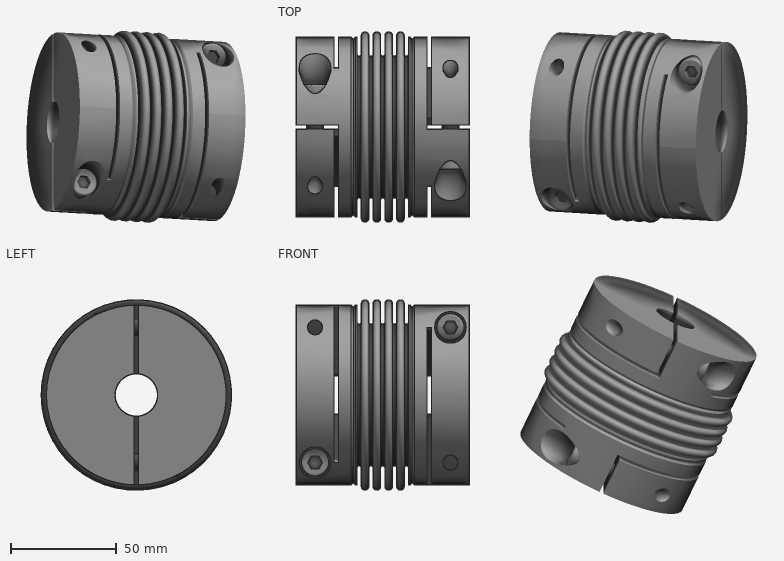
import cadquery as cq
import math


length = 82.0
outer_radius = 45.0
bore_radius = 10.0

hub_radius = 42.5
hub_length = 26.0
groove_bottom = 27.1
groove_depth = 1.0
groove_end = 28.1

bellows_length = 24.3
crest_count = 4
crest_radius = 1.8
root_depth = 11.5

split_width = 2.0
slot_start = 18.0
slot_width = 2.0
slot_end = slot_start + slot_width
slot_inner_y = 4.3
slot_inner_z = math.sqrt(bore_radius**2 - slot_inner_y**2)
slot_outer_y = 28.1
slot_sag = 2.6

screw_offset = 31.95
screw_from_end = 9.0
shank_radius = 4.0
head_radius = 6.5
head_rounding = 0.9
head_top = 20.1
head_height = 8.0
counterbore_radius = 7.5
hex_flats = 6.0
hex_depth = 4.0
threaded_hole_radius = 3.5
screw_tip = 13.0

half_length = length / 2
slot_outer_z = math.sqrt(hub_radius**2 - slot_outer_y**2)
head_seat = head_top - head_height
reach = 2 * outer_radius


def revolved_body():
    """Both hubs and the bellows, turned about X as one solid with a through bore."""
    half_bellows = bellows_length / 2
    root_width = (bellows_length - 2 * crest_count * crest_radius) / (crest_count + 1)
    root_radius = root_width / 2
    crest_wall = outer_radius - crest_radius
    root = outer_radius - root_depth
    root_wall = root + root_radius

    profile = (
        cq.Workplane("XY")
        .moveTo(-half_length, bore_radius)
        .lineTo(-half_length, hub_radius)
        .lineTo(-half_length + hub_length, hub_radius)
        .lineTo(-half_length + groove_bottom, hub_radius - groove_depth)
        .lineTo(-half_length + groove_end, hub_radius)
        .lineTo(-half_bellows, hub_radius)
    )
    x = -half_bellows
    for _ in range(crest_count):
        profile = (
            profile.lineTo(x, root_wall)
            .threePointArc((x + root_radius, root), (x + root_width, root_wall))
            .lineTo(x + root_width, crest_wall)
        )
        x += root_width
        profile = profile.threePointArc((x + crest_radius, outer_radius), (x + 2 * crest_radius, crest_wall))
        x += 2 * crest_radius
    profile = (
        profile.lineTo(x, root_wall)
        .threePointArc((x + root_radius, root), (half_bellows, root_wall))
        .lineTo(half_bellows, hub_radius)
        .lineTo(half_length - groove_end, hub_radius)
        .lineTo(half_length - groove_bottom, hub_radius - groove_depth)
        .lineTo(half_length - hub_length, hub_radius)
        .lineTo(half_length, hub_radius)
        .lineTo(half_length, bore_radius)
        .close()
    )
    return profile.revolve(360, (0, 0, 0), (1, 0, 0))


def split():
    """Axial gap that parts the hub into two jaws."""
    return cq.Workplane("XY").box(2 * slot_end, split_width, reach).translate((-half_length, 0, 0))


def jaw_slot():
    """Cross slot that frees the -Y jaw, closed by a shallow arc below the bore."""
    chord_y = slot_outer_y - slot_inner_y
    chord_z = slot_outer_z - slot_inner_z
    chord = math.hypot(chord_y, chord_z)
    arc_middle = (
        -(slot_inner_y + slot_outer_y) / 2 + slot_sag * chord_z / chord,
        -(slot_inner_z + slot_outer_z) / 2 - slot_sag * chord_y / chord,
    )
    return (
        cq.Workplane("YZ", origin=(-half_length + slot_start, 0, 0))
        .moveTo(0, reach)
        .lineTo(0, -slot_inner_z)
        .lineTo(-slot_inner_y, -slot_inner_z)
        .threePointArc(arc_middle, (-slot_outer_y, -slot_outer_z))
        .lineTo(-reach, -slot_outer_z)
        .lineTo(-reach, reach)
        .close()
        .extrude(slot_width)
    )


def screw_plane(y):
    """Workplane at the given Y, facing -Y, centred on the screw whose head sits in the -Y jaw."""
    return cq.Workplane("XZ", origin=(-half_length + screw_from_end, y, -screw_offset))


def screw_holes():
    """Counterbore for the head, and the open end of the threaded hole in the other jaw."""
    counterbore = screw_plane(-head_seat).circle(counterbore_radius).extrude(reach)
    threaded_hole = screw_plane(screw_tip).circle(threaded_hole_radius).extrude(-reach)
    return counterbore.union(threaded_hole)


def screw():
    """Socket head cap screw with a rounded head and a hexagon socket."""
    head = (
        screw_plane(-head_seat)
        .circle(head_radius)
        .extrude(head_height)
        .faces("<Y")
        .edges()
        .fillet(head_rounding)
    )
    half_hex_angle = math.pi / 6
    hex_across_corners = hex_flats / math.cos(half_hex_angle)
    socket = screw_plane(-head_top).polygon(6, hex_across_corners).extrude(-hex_depth)
    shank = screw_plane(screw_tip).circle(shank_radius).extrude(screw_tip + head_seat)
    return head.union(shank).cut(socket)


def placed(feature, hub_turn, jaw_turn):
    """A feature of the -X hub's -Y jaw, turned to another jaw about X and another hub about Z."""
    on_jaw = feature.rotate((0, 0, 0), (1, 0, 0), jaw_turn)
    return on_jaw.rotate((0, 0, 0), (0, 0, 1), hub_turn)


result = revolved_body()
for hub_angle in (0, 180):
    result = result.cut(placed(split(), hub_angle, 0))
    for jaw_angle in (0, 180):
        result = result.cut(placed(jaw_slot(), hub_angle, jaw_angle))
        result = result.cut(placed(screw_holes(), hub_angle, jaw_angle))
        result = result.union(placed(screw(), hub_angle, jaw_angle))